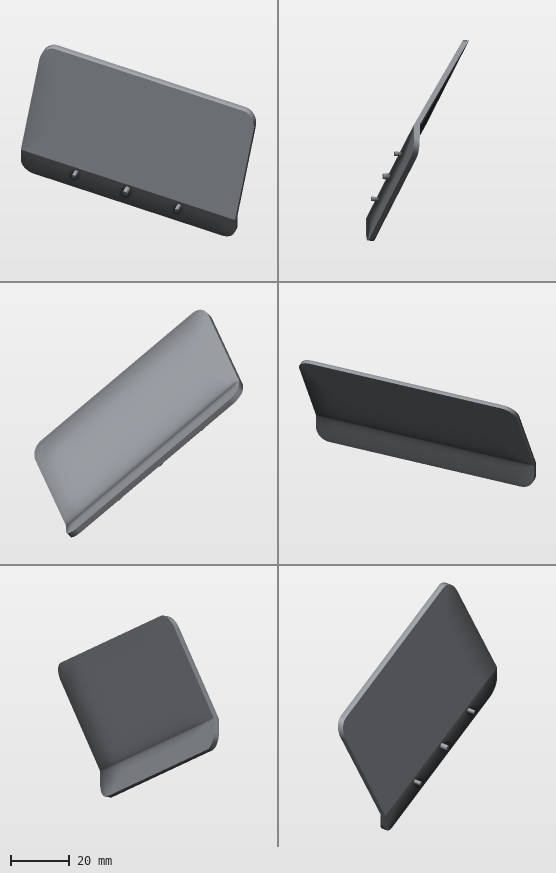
import cadquery as cq

width = 80.0
height = 45.0
plate_depth = 20.0
thickness = 2.0
bend_height = 10.0
corner_radius = 5.0

pin_length = 2.5
pin_height = 8.0
pin_spacing = 19.2
center_pin_diameter = 2.0
side_pin_diameter = 1.5


def bent_plate():
    """Side profile extruded along X, front face of the strip at Y = 0."""
    profile = [
        (0, 0),
        (0, bend_height),
        (plate_depth - thickness, height),
        (plate_depth, height),
        (thickness, bend_height),
        (thickness, 0),
    ]
    return cq.Workplane("YZ").polyline(profile).close().extrude(width / 2, both=True)


def rounded_outline():
    """Block along Y that rounds the four corners of the plate."""
    return (
        cq.Workplane("XZ")
        .center(0, height / 2)
        .rect(width, height)
        .extrude(-plate_depth)
        .edges("|Y")
        .fillet(corner_radius)
    )


def pin(x, diameter):
    """Round pin rooted in the strip and standing out toward -Y."""
    return (
        cq.Workplane("XZ", origin=(x, thickness / 2, pin_height))
        .circle(diameter / 2)
        .extrude(pin_length + thickness / 2)
    )


result = bent_plate().intersect(rounded_outline())
result = result.union(pin(0, center_pin_diameter))
for side in (-1, 1):
    result = result.union(pin(side * pin_spacing, side_pin_diameter))